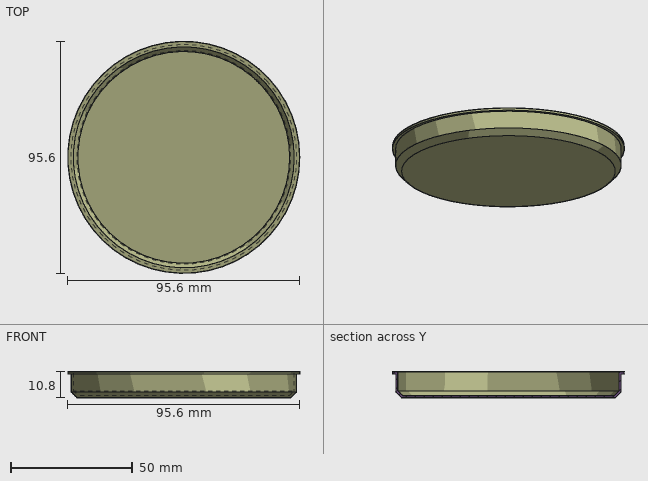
import math

import cadquery as cq

total_height = 10.8
rim_diameter = 95.6
body_diameter = 93.0

rim_thickness = 1.0

wall_thickness = 1.0
cavity_diameter = body_diameter - 2 * wall_thickness

inner_bevel = 1.9
outer_bevel = inner_bevel + wall_thickness * (2 - math.sqrt(2))


def bevelled_disc(diameter, height, bevel, base_z):
    """Disc standing on base_z with a 45 degree bevel around its lower edge."""
    disc = cq.Workplane("XY").workplane(offset=base_z).circle(diameter / 2).extrude(height)
    return disc.faces("<Z").edges().chamfer(bevel)


def rim():
    """Flat flange level with the top of the tray."""
    rim_base_z = total_height - rim_thickness
    return cq.Workplane("XY").workplane(offset=rim_base_z).circle(rim_diameter / 2).extrude(rim_thickness)


body = bevelled_disc(body_diameter, total_height, outer_bevel, 0)
cavity = bevelled_disc(cavity_diameter, total_height - wall_thickness, inner_bevel, wall_thickness)

result = body.union(rim()).cut(cavity)